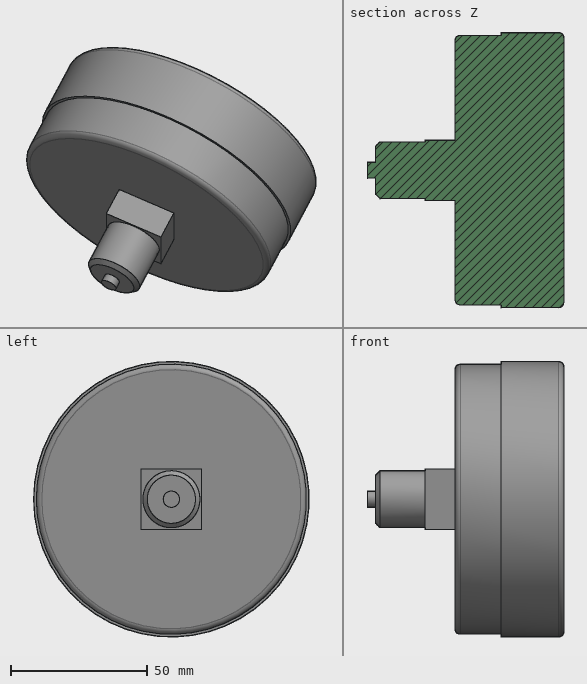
import cadquery as cq

tip_diameter = 6.0
tip_length = 2.9
stem_diameter = 20.9
stem_length = 18.2
stem_chamfer = 1.6
block_side = 22.2
block_length = 10.9
case_diameter = 99.0
case_length = 17.0
rim_radius = 2.0
bezel_diameter = 101.0
bezel_length = 23.0

stem_start = tip_length
block_start = stem_start + stem_length
case_start = block_start + block_length
bezel_start = case_start + case_length


def cylinder(start, length, diameter):
    """Solid cylinder along +X from the given X position."""
    return cq.Workplane("YZ", origin=(start, 0, 0)).circle(diameter / 2).extrude(length)


tip = cylinder(0, tip_length, tip_diameter)
stem = cylinder(stem_start, stem_length, stem_diameter).faces("<X").chamfer(stem_chamfer)
wrench_block = (
    cq.Workplane("YZ", origin=(block_start, 0, 0))
    .rect(block_side, block_side)
    .extrude(block_length)
)
case = cylinder(case_start, case_length, case_diameter).faces("<X").edges().fillet(rim_radius)
bezel = cylinder(bezel_start, bezel_length, bezel_diameter).faces(">X").edges().fillet(rim_radius)

result = tip.union(stem).union(wrench_block).union(case).union(bezel)